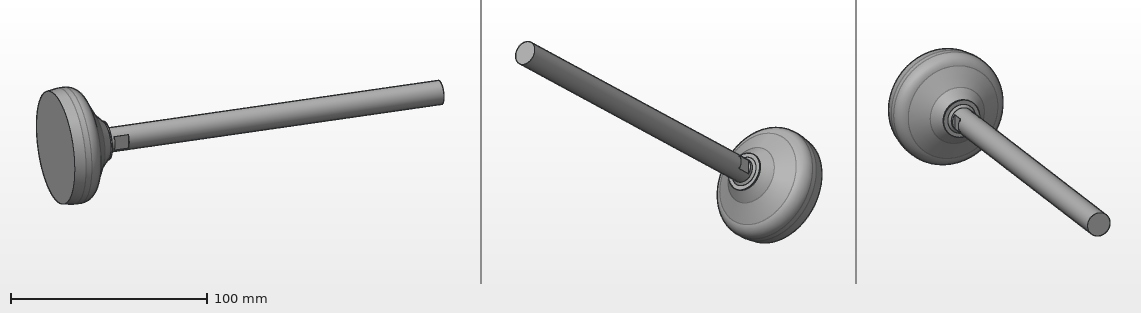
import cadquery as cq
import math

total_length = 208.0

rod_radius = 6.2
rod_start = 28.3
flat_start = 30.0
flat_end = 37.6
width_across_flats = 10.0
ball_radius = 12.0
ball_center = rod_start - math.sqrt(ball_radius**2 - rod_radius**2)

foot_radius = 30.0
sole_radius = 29.1
taper_top = 5.8
shoulder_start = 9.0
shoulder_radius = 24.8
shoulder_top = 15.8
neck_radius = 15.0
neck_base = 21.5
rim_radius = 10.0
rim_base = 26.5
foot_height = 27.2


def make_ball():
    return cq.Workplane("XY").sphere(ball_radius).translate((0, ball_center, 0))


def make_stem():
    rod = (
        cq.Workplane("XZ", origin=(0, ball_center, 0))
        .circle(rod_radius)
        .extrude(-(total_length - ball_center))
    )
    flat_depth = rod_radius - width_across_flats / 2
    flat_offset = width_across_flats / 2 + flat_depth / 2
    for side in (-1, 1):
        flat_cut = cq.Workplane("XY").box(flat_depth, flat_end - flat_start, 2 * rod_radius)
        rod = rod.cut(flat_cut.translate((side * flat_offset, (flat_start + flat_end) / 2, 0)))
    return rod.union(make_ball())


def make_foot():
    bell = (
        cq.Workplane("XY")
        .lineTo(sole_radius, 0)
        .lineTo(foot_radius, taper_top)
        .lineTo(foot_radius, shoulder_start)
        .tangentArcPoint((shoulder_radius, shoulder_top), relative=False)
        .lineTo(neck_radius, neck_base)
        .lineTo(rim_radius, rim_base)
        .lineTo(rim_radius, foot_height)
        .lineTo(0, foot_height)
        .close()
        .revolve(360, (0, 0, 0), (0, 1, 0))
    )
    return bell.cut(make_ball())


stem = make_stem()
foot = make_foot()

result = cq.Compound.makeCompound([stem.solids().val(), foot.solids().val()])